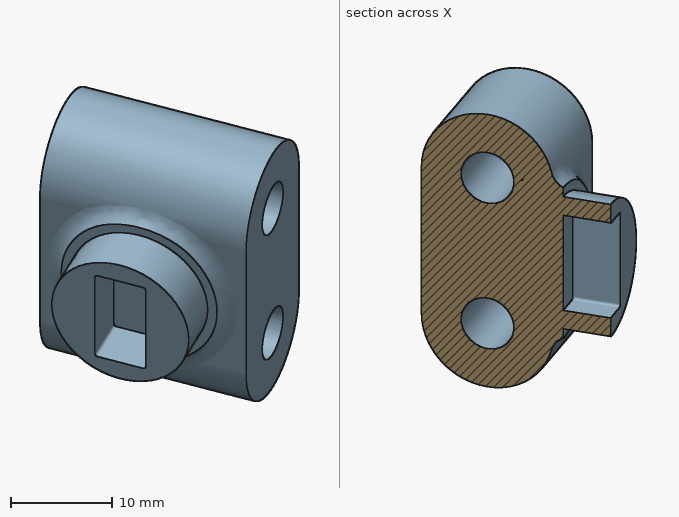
import cadquery as cq
import math

body_width = 22.0
body_height = 30.0
body_depth = 14.0
end_radius = body_depth / 2
end_axis_z = body_height / 2 - end_radius
front_face_y = -body_depth / 2

hole_diameter = 5.5

boss_diameter = 14.6
boss_length = 5.0
ledge_width = 1.0
collar_height = 1.0
collar_radius = boss_diameter / 2 + ledge_width
collar_face_y = front_face_y - collar_height
boss_face_y = collar_face_y - boss_length

flare_radius = 2.0

socket_width = 5.4
socket_height = 10.4
socket_corner_radius = 0.3
socket_depth = boss_length


def front_plane(y):
    """Workplane at the given Y, with its normal pointing forward along -Y."""
    return cq.Workplane("XZ", origin=(0, y, 0))


def side_plane():
    """Workplane on the -X end of the body: local x is Y, local y is Z, normal along +X."""
    return cq.Workplane("YZ", origin=(-body_width / 2, 0, 0))


def make_body():
    upright = 90
    return side_plane().slot2D(body_height, body_depth, upright).extrude(body_width)


def stem_half_width():
    """Half width in X of a stem whose flare, rolled on the flat face, meets the collar rim."""
    rim_to_ball_centre = math.sqrt(flare_radius**2 - (flare_radius - collar_height) ** 2)
    return collar_radius + rim_to_ball_centre - flare_radius


def stem_half_height():
    """Half height in Z of a stem whose flare, rolled on a rounded end, meets the collar rim."""
    rim_offset = collar_radius - end_axis_z
    rim_distance = math.hypot(rim_offset, collar_face_y)
    ball_distance = end_radius + flare_radius
    rim_angle = math.atan2(rim_offset, -collar_face_y)
    cos_spread = (ball_distance**2 + rim_distance**2 - flare_radius**2) / (2 * ball_distance * rim_distance)
    ball_angle = rim_angle + math.acos(cos_spread)
    return end_axis_z + ball_distance * math.sin(ball_angle) - flare_radius


def add_flared_collar(body):
    """Fillet a slightly oval stem onto the body, then trim it flat at the collar face."""
    stem_end_y = front_face_y - 2 * flare_radius
    stem = front_plane(0).ellipse(stem_half_width(), stem_half_height()).extrude(-stem_end_y)
    seam = cq.selectors.BoxSelector(
        (-collar_radius, collar_face_y, -collar_radius),
        (collar_radius, 0, collar_radius),
        boundingbox=True,
    )
    flared = body.union(stem).edges(seam).fillet(flare_radius)
    trim = front_plane(collar_face_y).rect(body_width, body_height).extrude(collar_face_y - stem_end_y)
    return flared.cut(trim)


def add_boss(part):
    boss = front_plane(collar_face_y).circle(boss_diameter / 2).extrude(boss_length)
    return part.union(boss)


def cut_socket(part):
    socket = (
        front_plane(boss_face_y)
        .rect(socket_width, socket_height)
        .extrude(-socket_depth)
        .edges("|Y")
        .fillet(socket_corner_radius)
    )
    return part.cut(socket)


def cut_cross_holes(part):
    holes = (
        side_plane()
        .pushPoints([(0, end_axis_z), (0, -end_axis_z)])
        .circle(hole_diameter / 2)
        .extrude(body_width)
    )
    return part.cut(holes)


flared_body = add_flared_collar(make_body())
bossed_body = add_boss(flared_body)
result = cut_cross_holes(cut_socket(bossed_body))